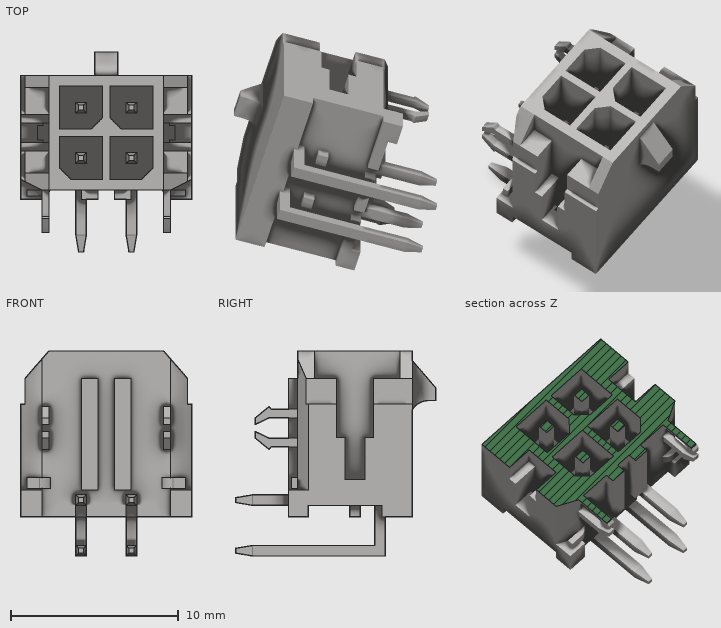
import cadquery as cq
import math


body_width = 10.2
body_depth = 6.84
body_height = 9.9
core_width = 6.84
shoulder_width = 9.7
shoulder_top = 8.26
flank_top = 6.73
standoff = 0.55
foot_height = 0.67
back_foot_depth = 1.8
peg_size = 0.64
mid_y = body_depth / 2

corner_inner_x = 3.84
corner_depth = 0.64
front_foot_height = 1.61

front_gusset_depth = 1.02
back_gusset_depth = 0.73

slot_width = 2.2
slot_step_z = 4.72
slot_low_width = 1.18
slot_floor_z = 2.24
well_depth = 0.5
well_neck_width = 0.86
well_neck_x = 4.09
well_step_x = 3.78

pitch = 3.0
cavity_size = 2.56
cavity_key = 0.68
cavity_floor_z = 2.2

rib_width = 0.99
rib_offset = 0.975

pin_size = 0.64
pin_tip_size = 0.3
pin_tip_length = 1.02
pin_front_y = -3.7
pin_top_z = 7.5
upper_tail_z = 1.0
lower_tail_z = -2.02

latch_width = 1.38
latch_reach = 1.41
latch_top_z = 9.33
latch_nose_top_z = 7.69
latch_nose_bottom_z = 6.93
latch_root_z = 6.38
latch_flat = 0.44

prong_inner_x = 3.4
prong_thickness = 0.44
prong_mid_z = 5.3
prong_inner_gap = 0.6
prong_height = 0.52
barb_y = -1.7
barb_rise = 0.16
barb_run = 0.13
prong_tip_y = -2.54
prong_tip_inner = 0.2
prong_tip_outer = 0.6
hook_inner_x = 3.34
hook_flat_x = 3.98
hook_outer_x = 4.73
hook_reach = 0.35
hook_bottom_z = 1.7
hook_height = 0.64


def box(x0, x1, y0, y1, z0, z1):
    return cq.Workplane("XY").box(x1 - x0, y1 - y0, z1 - z0, centered=False).translate((x0, y0, z0))


def centred_box(width, y0, y1, z0, z1):
    return box(-width / 2, width / 2, y0, y1, z0, z1)


def both_sides(solid):
    return solid.union(solid.mirror("YZ"))


def tangent_radius(run, drop):
    """Radius of an arc that leaves a straight edge smoothly and falls by drop over run."""
    return (run**2 + drop**2) / (2 * drop)


def gusset(y0, y1):
    """Right-hand sloped gusset from the core's top edge down to the shoulder."""
    outline = [
        (core_width / 2, shoulder_top),
        (shoulder_width / 2, shoulder_top),
        (core_width / 2, body_height),
    ]
    return cq.Workplane("XZ").polyline(outline).close().extrude(y0 - y1).translate((0, y0, 0))


def corner_cut():
    """Right-hand wedge that slants the front corner above the front foot."""
    outline = [(corner_inner_x, 0), (body_width / 2, 0), (body_width / 2, corner_depth)]
    wedge = cq.Workplane("XY").polyline(outline).close().extrude(body_height - front_foot_height)
    return wedge.translate((0, 0, front_foot_height))


def side_slot():
    """Right-hand stepped slot, with a T-shaped well sunk in its floor."""
    inner_x = core_width / 2
    outer_x = body_width / 2

    def channel(width, x1, z0, z1):
        return box(inner_x, x1, mid_y - width / 2, mid_y + width / 2, z0, z1)

    well_floor_z = slot_floor_z - well_depth
    slot = channel(slot_width, outer_x, slot_step_z, body_height)
    slot = slot.union(channel(slot_low_width, outer_x, slot_floor_z, slot_step_z))
    slot = slot.union(channel(slot_low_width, well_step_x, well_floor_z, slot_floor_z))
    return slot.union(channel(well_neck_width, well_neck_x, well_floor_z, slot_floor_z))


def cavity(x, y, key_side):
    """Square cavity with one chamfered front corner; key_side is the sign of X of that corner."""
    half = cavity_size / 2
    outline = [
        (-half, half),
        (half, half),
        (half, cavity_key - half),
        (half - cavity_key, -half),
        (-half, -half),
    ]
    hole = cq.Workplane("XY").polyline(outline).close().extrude(body_height - cavity_floor_z)
    if key_side < 0:
        hole = hole.mirror("YZ")
    return hole.translate((x, y, cavity_floor_z))


def housing():
    body = centred_box(core_width, 0, body_depth, 0, body_height)
    body = body.union(centred_box(shoulder_width, 0, body_depth, 0, shoulder_top))
    body = body.union(centred_box(body_width, 0, body_depth, 0, flank_top))
    body = body.union(both_sides(gusset(0, front_gusset_depth)))
    body = body.union(both_sides(gusset(body_depth - back_gusset_depth, body_depth)))
    body = body.cut(both_sides(corner_cut()))
    body = body.cut(both_sides(side_slot()))
    foot = box(corner_inner_x, body_width / 2, -standoff, corner_depth, 0, front_foot_height)
    body = body.union(both_sides(foot))
    rib = centred_box(rib_width, -standoff, 0, front_foot_height, shoulder_top)
    body = body.union(both_sides(rib.translate((rib_offset, 0, 0))))

    body = body.cut(centred_box(body_width, corner_depth, body_depth - back_foot_depth, 0, foot_height))
    peg = centred_box(peg_size, mid_y - peg_size / 2, mid_y + peg_size / 2, 0, foot_height)

    for side in (-1, 1):
        x = side * pitch / 2
        body = body.cut(cavity(x, mid_y - pitch / 2, side))
        body = body.cut(cavity(x, mid_y + pitch / 2, -side))
        notch = centred_box(pin_size, 0, corner_depth, 0, upper_tail_z + pin_size / 2)
        body = body.cut(notch.translate((x, 0, 0)))
        body = body.union(peg.translate((x, 0, 0)))
    return body


def tapered_bar(length):
    """Square bar along +Z from the origin, ending in a tapered tip."""
    shank = length - pin_tip_length
    bar = cq.Workplane("XY").rect(pin_size, pin_size).extrude(shank)
    taper = math.degrees(math.atan((pin_size - pin_tip_size) / 2 / pin_tip_length))
    tip = cq.Workplane("XY").rect(pin_size, pin_size).extrude(pin_tip_length, taper=taper)
    return bar.union(tip.translate((0, 0, shank)))


def pin(x, y, tail_z):
    """Bent pin: a vertical contact in the cavity and a tail towards -Y."""
    half = pin_size / 2
    contact = tapered_bar(pin_top_z - tail_z + half).translate((0, 0, -half))
    tail = tapered_bar(y + half - pin_front_y).rotate((0, 0, 0), (1, 0, 0), 90).translate((0, half, 0))
    return contact.union(tail).translate((x, y, tail_z))


def latch():
    nose_y = body_depth + latch_reach
    flat_y = nose_y - latch_flat
    arc_run = flat_y - body_depth
    arc_drop = latch_nose_bottom_z - latch_root_z
    radius = tangent_radius(arc_run, arc_drop)
    profile = (
        cq.Workplane("YZ")
        .moveTo(body_depth, latch_root_z)
        .lineTo(body_depth, latch_top_z)
        .lineTo(nose_y, latch_nose_top_z)
        .lineTo(nose_y, latch_nose_bottom_z)
        .lineTo(flat_y, latch_nose_bottom_z)
        .radiusArc((body_depth, latch_root_z), -radius)
        .close()
    )
    return profile.extrude(latch_width / 2, both=True)


def prong():
    """Right-hand upper prong, with an outward barb and a tip bent inwards."""
    inner = prong_inner_gap
    outer = prong_inner_gap + prong_height
    outline = [
        (0, inner),
        (0, outer),
        (barb_y + barb_run, outer),
        (barb_y, outer + barb_rise),
        (prong_tip_y, prong_tip_outer),
        (prong_tip_y, prong_tip_inner),
        (barb_y, inner),
    ]
    bar = cq.Workplane("YZ").polyline(outline).close().extrude(prong_thickness)
    return bar.translate((prong_inner_x, 0, 0))


def prong_pair():
    upper = prong()
    return upper.union(upper.mirror("XY")).translate((0, 0, prong_mid_z))


def hook():
    """Right-hand hook: a flat tab that curves back into the front face."""
    run = hook_flat_x - hook_inner_x
    radius = tangent_radius(run, hook_reach)
    profile = (
        cq.Workplane("XY")
        .moveTo(hook_inner_x, 0)
        .lineTo(hook_outer_x, 0)
        .lineTo(hook_outer_x, -hook_reach)
        .lineTo(hook_flat_x, -hook_reach)
        .radiusArc((hook_inner_x, 0), radius)
        .close()
    )
    return profile.extrude(hook_height).translate((0, 0, hook_bottom_z))


result = housing().union(latch())
result = result.union(both_sides(prong_pair())).union(both_sides(hook()))
for pin_x in (-pitch / 2, pitch / 2):
    result = result.union(pin(pin_x, mid_y - pitch / 2, upper_tail_z))
    result = result.union(pin(pin_x, mid_y + pitch / 2, lower_tail_z))